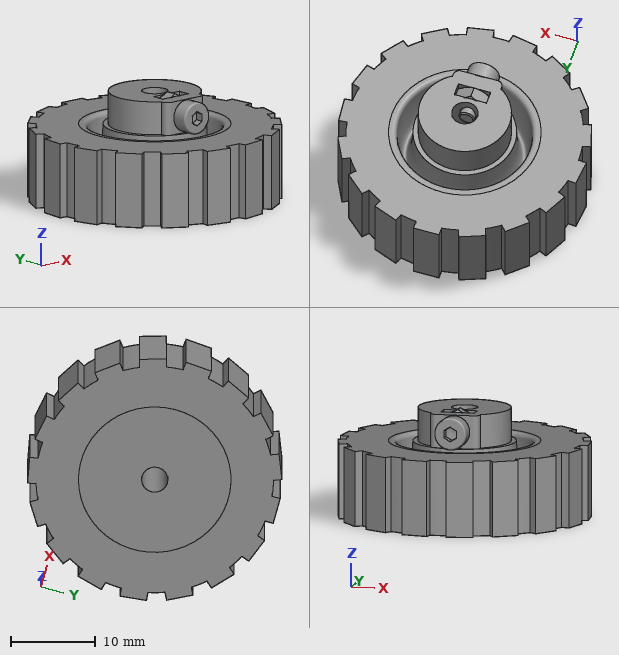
import cadquery as cq
import math

hexagon_sides = 6

tire_width = 9.0
outer_diameter = 30.0
tread_root_diameter = 28.02
tooth_count = 17
tooth_width = 3.18
rim_diameter = 18.0

bore_diameter = 3.1
hub_diameter = 11.0
hub_rise = 4.0
shoulder_diameter = 12.25
groove_outer_diameter = 16.02
groove_lip_radius = 0.5
groove_depth = 5.0

boss_width = 6.0
boss_corner_radius = 0.75
seat_distance = 5.6
screw_rise = 2.0

head_diameter = 3.8
head_length = 2.0
head_rounding = 0.2
socket_flats = 1.5
socket_depth = 1.0
socket_tip_depth = 0.1
shank_diameter = 1.92
shank_length = 5.0
tip_diameter = 1.62
clearance_diameter = 2.0

nut_flats = 4.0
nut_thickness = 1.6
nut_distance = 2.95
nut_chamfer_angle = 30.0

hub_top = tire_width + hub_rise
screw_height = tire_width + screw_rise
tip_distance = seat_distance - shank_length
nut_near = nut_distance - nut_thickness / 2


def corner_diameter(flats):
    """Across-corners size of a hexagon with the given across-flats size."""
    return flats / math.cos(math.pi / hexagon_sides)


def cross_section(distance):
    """Sketch plane across the screw axis; +Z of the plane points to -Y, out to the screw head."""
    return cq.Workplane("XZ", origin=(0, -distance, screw_height))


def upright_hexagon(plane, flats, depth):
    """Hexagonal prism along the screw axis with a corner pointing straight up."""
    corner_radius = corner_diameter(flats) / 2
    corner_angles = [2 * math.pi * i / hexagon_sides for i in range(hexagon_sides)]
    points = [(corner_radius * math.sin(angle), corner_radius * math.cos(angle)) for angle in corner_angles]
    return plane.polyline(points).close().extrude(depth)


def make_tire():
    """Ring with straight-sided tread teeth, one of them pointing to +Y."""
    tooth_reach = math.sqrt((outer_diameter / 2) ** 2 - (tooth_width / 2) ** 2)
    tooth = cq.Workplane("XY").box(tooth_width, tooth_reach, tire_width, centered=(True, False, False))
    tire = cq.Workplane("XY").circle(tread_root_diameter / 2).extrude(tire_width)
    for i in range(tooth_count):
        tire = tire.union(tooth.rotate((0, 0, 0), (0, 0, 1), 360 * i / tooth_count))
    rim_hole = cq.Workplane("XY").circle(rim_diameter / 2).extrude(tire_width)
    return tire.cut(rim_hole)


def make_rim():
    """Solid disc with a ring-shaped groove of half-elliptical section and a rounded outer lip."""
    half_width = (groove_outer_diameter - shoulder_diameter) / 4
    middle_radius = (groove_outer_diameter + shoulder_diameter) / 4
    groove = (
        cq.Workplane("XZ", origin=(middle_radius, 0, tire_width))
        .ellipseArc(half_width, groove_depth, 180, 360, startAtCurrent=False)
        .close()
        .revolve(360, (-middle_radius, 0, 0), (-middle_radius, 1, 0))
    )
    disc = cq.Workplane("XY").circle(rim_diameter / 2).extrude(tire_width)
    groove_outer_edge = cq.selectors.RadiusNthSelector(1)
    return disc.cut(groove).faces(">Z").edges(groove_outer_edge).fillet(groove_lip_radius)


def make_boss():
    """Block on the hub whose flat face seats the screw head."""
    return (
        cq.Workplane("XY", origin=(0, -seat_distance, tire_width))
        .box(boss_width, seat_distance, hub_rise, centered=(True, False, False))
        .edges("|Z and <Y")
        .fillet(boss_corner_radius)
    )


def make_nut_pocket():
    """Hexagonal pocket opened upwards by a slot, so that the nut drops in from the top."""
    hexagon = upright_hexagon(cross_section(nut_near), nut_flats, nut_thickness)
    slot = cq.Workplane("XY", origin=(0, -nut_distance, screw_height)).box(
        nut_flats, nut_thickness, hub_rise, centered=(True, True, False)
    )
    return hexagon.union(slot)


def make_wheel():
    """Rim with the hub and boss on top, bored through and cut out for the screw and nut."""
    hub = cq.Workplane("XY").circle(hub_diameter / 2).extrude(hub_top)
    bore = cq.Workplane("XY").circle(bore_diameter / 2).extrude(hub_top)
    screw_hole = cross_section(0).circle(clearance_diameter / 2).extrude(seat_distance)
    return (
        make_rim()
        .union(hub)
        .union(make_boss())
        .cut(bore)
        .cut(screw_hole)
        .cut(make_nut_pocket())
    )


def make_socket():
    """Hexagonal socket in the screw head, ending in a shallow six-sided point."""
    socket_floor = cross_section(seat_distance + head_length - socket_depth)
    hexagon = upright_hexagon(socket_floor, socket_flats, socket_depth)
    corners = [cq.Vector(*vertex.toTuple()) for vertex in hexagon.faces(">Y").vertices().vals()]
    tip = hexagon.faces(">Y").val().Center() + cq.Vector(0, socket_tip_depth, 0)
    base = cq.Wire.makePolygon(corners, close=True)
    sides = [cq.Wire.makePolygon([corners[i - 1], corners[i], tip], close=True) for i in range(hexagon_sides)]
    pyramid_faces = [cq.Face.makeFromWires(wire) for wire in [base, *sides]]
    pyramid = cq.Solid.makeSolid(cq.Shell.makeShell(pyramid_faces))
    return hexagon.union(cq.Workplane(pyramid))


def make_screw():
    """Socket head screw pointing to +Y, with a chamfered tip."""
    tip_chamfer = (shank_diameter - tip_diameter) / 2
    shank = (
        cross_section(tip_distance)
        .circle(shank_diameter / 2)
        .extrude(shank_length)
        .faces(">Y")
        .chamfer(tip_chamfer)
    )
    head = (
        cross_section(seat_distance)
        .circle(head_diameter / 2)
        .extrude(head_length)
        .faces("<Y")
        .fillet(head_rounding)
    )
    return head.union(shank).cut(make_socket())


def make_nut():
    """Hexagonal nut with both ends chamfered by cones that start at the across-flats circle."""
    chamfer_width = (corner_diameter(nut_flats) - nut_flats) / 2
    chamfer_height = chamfer_width * math.tan(math.radians(nut_chamfer_angle))
    envelope = (
        cross_section(nut_near)
        .circle(corner_diameter(nut_flats) / 2)
        .extrude(nut_thickness)
        .faces("<Y or >Y")
        .chamfer(chamfer_height, chamfer_width)
    )
    thread_hole = cross_section(nut_near).circle(shank_diameter / 2).extrude(nut_thickness)
    hexagon = upright_hexagon(cross_section(nut_near), nut_flats, nut_thickness)
    return hexagon.intersect(envelope).cut(thread_hole)


tire = make_tire()
wheel = make_wheel()
screw = make_screw()
nut = make_nut()

result = cq.Compound.makeCompound([tire.val(), wheel.val(), screw.val(), nut.val()])